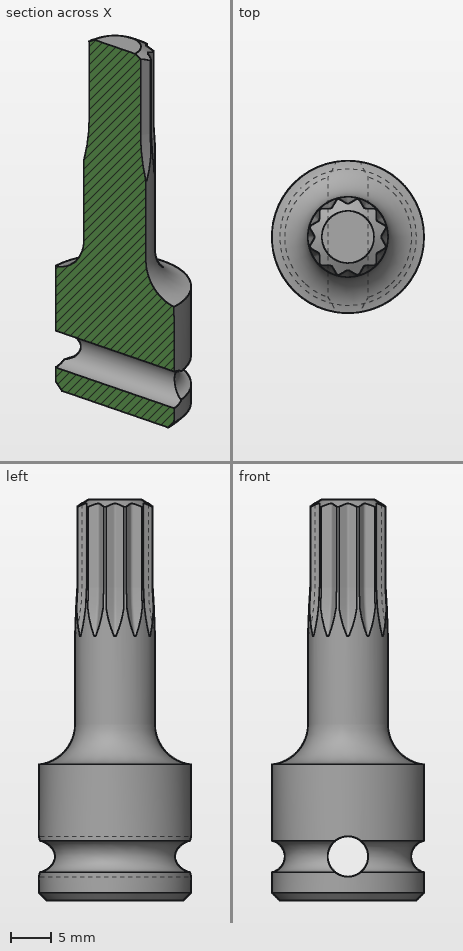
import cadquery as cq
import math

total_length = 50.0
drive_radius = 9.5
shank_radius = 5.0

base_chamfer = 1.0
groove_center_z = 5.5
groove_radius = 2.0
groove_floor_radius = 7.9
pin_hole_diameter = 5.0

shoulder_top_z = 21.95
shoulder_radius = 5.0

tooth_count = 12
square_half_width = 3.54
tooth_tip_radius = 4.85
valley_fillet = 0.4
straight_spline_length = 11.0
runout_radius = 22.0
cutter_runout_angle = 25.0
cutter_clearance = 0.3
cutter_overrun = 1.0
tip_face_radius = 3.25
tip_chamfer_angle = 30.0

groove_arc_radius = groove_floor_radius + groove_radius
groove_half_height = math.sqrt(groove_radius**2 - (groove_arc_radius - drive_radius)**2)
shoulder_arc_radius = shank_radius + shoulder_radius
shoulder_base_z = shoulder_top_z - math.sqrt(
    shoulder_radius**2 - (shoulder_arc_radius - drive_radius)**2
)
spline_base_z = total_length - straight_spline_length
tip_chamfer_height = (tooth_tip_radius - tip_face_radius) * math.tan(math.radians(tip_chamfer_angle))
tooth_pitch = 360.0 / tooth_count


def arc_midpoint(center, radius, start, end):
    """Point on a circle halfway between two points of its shorter arc."""
    across = (start[0] + end[0]) / 2 - center[0]
    up = (start[1] + end[1]) / 2 - center[1]
    length = math.hypot(across, up)
    return (center[0] + radius * across / length, center[1] + radius * up / length)


def turned_body():
    """Revolved blank: drive end, ball groove, shoulder, shank and chamfered tip."""
    shoulder_base = (drive_radius, shoulder_base_z)
    shoulder_top = (shank_radius, shoulder_top_z)
    shoulder_middle = arc_midpoint(
        (shoulder_arc_radius, shoulder_top_z), shoulder_radius, shoulder_base, shoulder_top
    )

    flare_rise = shank_radius - tooth_tip_radius
    flare_length = math.sqrt(runout_radius**2 - (runout_radius - flare_rise)**2)
    flare_base = (shank_radius, spline_base_z - flare_length)
    flare_top = (tooth_tip_radius, spline_base_z)
    flare_middle = arc_midpoint(
        (tooth_tip_radius + runout_radius, spline_base_z), runout_radius, flare_base, flare_top
    )

    profile = (
        cq.Workplane("XZ")
        .moveTo(0, 0)
        .lineTo(drive_radius - base_chamfer, 0)
        .lineTo(drive_radius, base_chamfer)
        .lineTo(drive_radius, groove_center_z - groove_half_height)
        .threePointArc(
            (groove_floor_radius, groove_center_z),
            (drive_radius, groove_center_z + groove_half_height),
        )
        .lineTo(*shoulder_base)
        .threePointArc(shoulder_middle, shoulder_top)
        .lineTo(*flare_base)
        .threePointArc(flare_middle, flare_top)
        .lineTo(tooth_tip_radius, total_length - tip_chamfer_height)
        .lineTo(tip_face_radius, total_length)
        .lineTo(0, total_length)
        .close()
    )
    return profile.revolve(360, (0, 0, 0), (0, 1, 0))


def valley_cutter():
    """Cutter for the valley on +X: a rounded V that runs down and out along an arc."""
    flank_angle = math.radians(2 * tooth_pitch)
    apex_radius = square_half_width / math.cos(math.radians(tooth_pitch))
    outer_radius = shank_radius + cutter_clearance
    outer_half_width = (outer_radius - apex_radius) * math.tan(flank_angle)

    fillet_center_radius = apex_radius + valley_fillet / math.sin(flank_angle)
    floor_radius = fillet_center_radius - valley_fillet
    tangent_radius = fillet_center_radius - valley_fillet * math.sin(flank_angle)
    tangent_half_width = valley_fillet * math.cos(flank_angle)

    start_z = total_length + cutter_overrun
    runout_angle = math.radians(cutter_runout_angle)

    def runout_point(angle):
        across = floor_radius + runout_radius * (1 - math.cos(angle))
        return (across, spline_base_z - runout_radius * math.sin(angle))

    path = (
        cq.Workplane("XZ")
        .moveTo(floor_radius, start_z)
        .lineTo(floor_radius, spline_base_z)
        .threePointArc(runout_point(runout_angle / 2), runout_point(runout_angle))
    )
    section = (
        cq.Workplane("XY", origin=(0, 0, start_z))
        .moveTo(outer_radius, -outer_half_width)
        .lineTo(tangent_radius, -tangent_half_width)
        .threePointArc((floor_radius, 0), (tangent_radius, tangent_half_width))
        .lineTo(outer_radius, outer_half_width)
        .close()
    )
    return section.sweep(path)


def pin_hole():
    """Cross hole along Y, centred on the ball groove."""
    return (
        cq.Workplane("XZ", origin=(0, 0, groove_center_z))
        .circle(pin_hole_diameter / 2)
        .extrude(drive_radius, both=True)
    )


result = turned_body().cut(pin_hole())
cutter = valley_cutter()
for tooth in range(tooth_count):
    result = result.cut(cutter.rotate((0, 0, 0), (0, 0, 1), tooth * tooth_pitch))